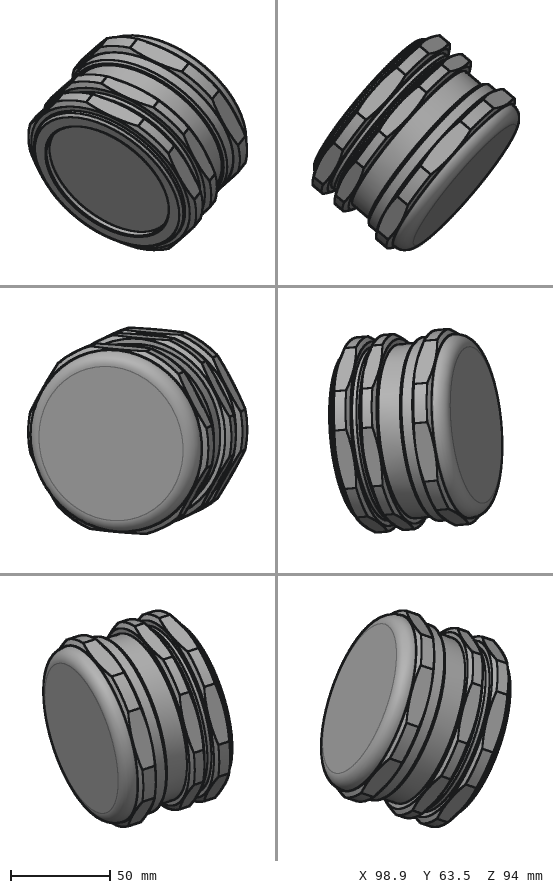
import cadquery as cq
import math

length = 63.5
nut_across_flats = 94.0
nut_across_corners = 98.9
nut_chamfer_diameter = 93.4
nut_chamfer_angle = math.radians(30)

nut_spans = [(3.4, 12.8), (18.0, 26.7), (45.7, 56.0)]

thread_diameter = 87.9
front_face_diameter = 85.0
thread_chamfer_depth = 1.6

groove_front = 15.0
groove_depth = 1.1
groove_bottom = groove_front + groove_depth
groove_back = nut_spans[1][0]

body_diameter = 88.0
cap_diameter = 93.0
cap_start = 38.7
cap_chamfer = 1.3
dome_radius = 6.9

recess_diameter = 72.0
recess_mouth_diameter = 73.0
recess_depth = 3.4


def revolve_about_y(profile):
    """Turn a closed (radius, y) profile about the Y axis."""
    return profile.close().revolve(360, (0, 0, 0), (0, 1, 0))


def turned_body():
    thread_radius = thread_diameter / 2
    body_radius = body_diameter / 2
    cap_radius = cap_diameter / 2
    groove_radius = thread_radius - groove_depth
    blend_rise = body_radius - groove_radius
    blend_length = groove_back - groove_bottom
    blend_radius = (blend_rise**2 + blend_length**2) / (2 * blend_rise)
    profile = (
        cq.Workplane("XY")
        .moveTo(0, 0)
        .lineTo(front_face_diameter / 2, 0)
        .lineTo(thread_radius, thread_chamfer_depth)
        .lineTo(thread_radius, groove_front)
        .lineTo(groove_radius, groove_bottom)
        .radiusArc((body_radius, groove_back), -blend_radius)
        .lineTo(body_radius, cap_start)
        .lineTo(cap_radius - cap_chamfer, cap_start)
        .lineTo(cap_radius, cap_start + cap_chamfer)
        .lineTo(cap_radius, length - dome_radius)
        .radiusArc((cap_radius - dome_radius, length), -dome_radius)
        .lineTo(0, length)
    )
    return revolve_about_y(profile)


def hexagon_nut(front, back):
    """Hexagon with flats facing +Z and -Z, turned down and chamfered at both ends."""
    hexagon = (
        cq.Workplane("XZ", origin=(0, front, 0))
        .polygon(6, nut_across_flats / math.cos(math.pi / 6))
        .extrude(front - back)
    )
    end_radius = nut_chamfer_diameter / 2
    corner_radius = nut_across_corners / 2
    chamfer_depth = (corner_radius - end_radius) * math.tan(nut_chamfer_angle)
    envelope = revolve_about_y(
        cq.Workplane("XY")
        .moveTo(0, front)
        .lineTo(end_radius, front)
        .lineTo(corner_radius, front + chamfer_depth)
        .lineTo(corner_radius, back - chamfer_depth)
        .lineTo(end_radius, back)
        .lineTo(0, back)
    )
    return hexagon.intersect(envelope)


def front_recess():
    """Blind round recess with a small chamfer at its mouth."""
    recess_radius = recess_diameter / 2
    mouth_radius = recess_mouth_diameter / 2
    profile = (
        cq.Workplane("XY")
        .moveTo(0, 0)
        .lineTo(mouth_radius, 0)
        .lineTo(recess_radius, mouth_radius - recess_radius)
        .lineTo(recess_radius, recess_depth)
        .lineTo(0, recess_depth)
    )
    return revolve_about_y(profile)


result = turned_body()
for nut_front, nut_back in nut_spans:
    result = result.union(hexagon_nut(nut_front, nut_back))
result = result.cut(front_recess())